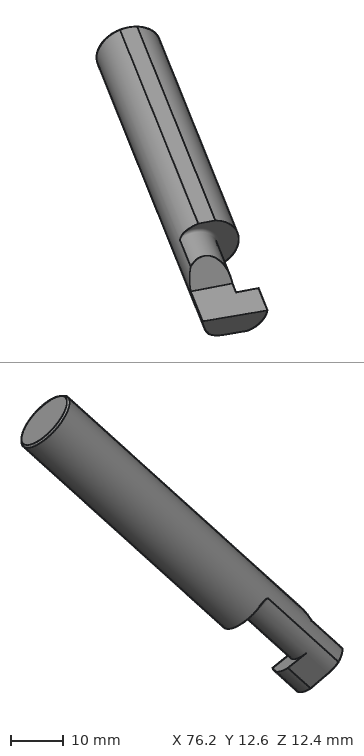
import cadquery as cq

length = 76.2
shank_radius = 6.3
shank_length = 55.85
flat_height = 6.1
end_chamfer = 0.4

neck_radius = 4.4
neck_y = -2.5
neck_z = -0.1
root_fillet = 0.6

head_length = 6.4
ramp_foot_x = 67.3
tip_relief_y = 5.4
tip_relief_z = -2.3
tip_relief_end_y = 2.3
end_relief = 0.4

neck_bottom = neck_z - neck_radius
cut_margin = 1.5
bar_reach = shank_radius + cut_margin


def cylinder(radius, start, end, y=0.0, z=0.0):
    """Round bar along X between two stations."""
    return cq.Workplane("YZ", origin=(start, y, z)).circle(radius).extrude(end - start)


def make_shank():
    """Round shank, chamfered at the back, with a narrow flat along its top."""
    shank = cylinder(shank_radius, 0, shank_length).faces("<X").chamfer(end_chamfer)
    flat_cut = cq.Workplane("XY", origin=(shank_length / 2, 0, flat_height))
    flat_cut = flat_cut.rect(shank_length, 2 * bar_reach).extrude(cut_margin)
    return shank.cut(flat_cut)


def make_root_flare():
    """Concave fillet ring joining the neck to the shank face."""
    outer = neck_radius + root_fillet
    diagonal = root_fillet * (1 - 0.5 ** 0.5)
    return (
        cq.Workplane("XY", origin=(shank_length, neck_y, neck_z))
        .moveTo(0, 0)
        .lineTo(0, outer)
        .threePointArc((diagonal, neck_radius + diagonal), (root_fillet, neck_radius))
        .lineTo(root_fillet, 0)
        .close()
        .revolve(360, (0, 0, 0), (1, 0, 0))
    )


def make_head():
    """Side-reaching head below the rake face, with a curved relief under its tip."""
    return (
        cq.Workplane("YZ", origin=(length - head_length, 0, 0))
        .moveTo(neck_y, 0)
        .lineTo(shank_radius, 0)
        .threePointArc((tip_relief_y, tip_relief_z), (tip_relief_end_y, neck_bottom))
        .lineTo(neck_y, neck_bottom)
        .close()
        .extrude(head_length)
    )


def make_rake_cut():
    """Space above the rake face and its 45 degree run-out ramp."""
    return (
        cq.Workplane("XZ")
        .moveTo(ramp_foot_x, 0)
        .lineTo(ramp_foot_x - bar_reach, bar_reach)
        .lineTo(length + cut_margin, bar_reach)
        .lineTo(length + cut_margin, 0)
        .close()
        .extrude(bar_reach, both=True)
    )


def make_end_envelope():
    """Block whose front face leans back sideways from the tip."""
    return (
        cq.Workplane("XY")
        .moveTo(0, shank_radius)
        .lineTo(length, shank_radius)
        .lineTo(length - end_relief, -shank_radius)
        .lineTo(0, -shank_radius)
        .close()
        .extrude(bar_reach, both=True)
    )


neck = cylinder(neck_radius, shank_length, length, neck_y, neck_z).union(make_root_flare())
neck = neck.intersect(cylinder(shank_radius, shank_length, length))
blade = neck.union(make_head()).cut(make_rake_cut()).intersect(make_end_envelope())
result = make_shank().union(blade)